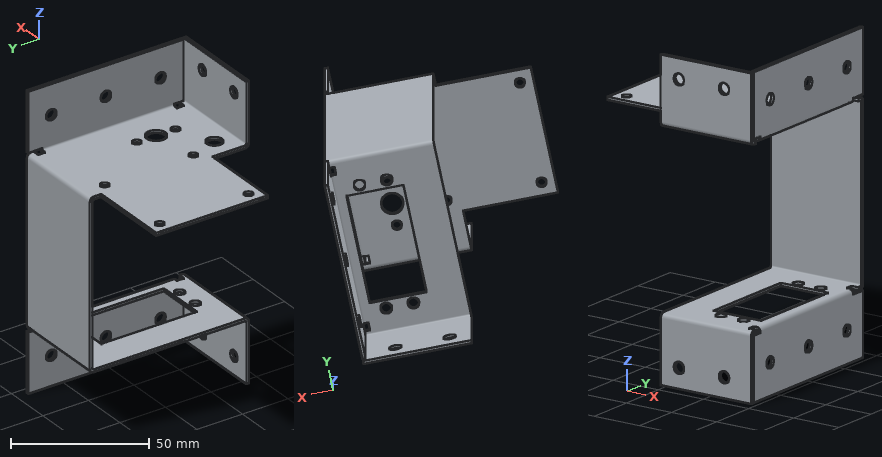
import cadquery as cq

width = 40.0
depth = 70.0
height = 125.0
thickness = 1.2
inner_radius = 0.8
outer_radius = inner_radius + thickness

y_front = -depth / 2
y_back = depth / 2
z_top = height / 2
shelf_inner_z = 35.1
shelf_outer_z = shelf_inner_z + thickness
bend_end_z = shelf_inner_z + outer_radius

side_flange_front_y = y_front + outer_radius
relief_width = 3.0
relief_inset = 3.0
relief_depth = 3.0
side_bend_half_length = depth / 2 - relief_inset - relief_width

flange_hole_diameter = 4.5
front_hole_xs = (8.0, 28.0)
front_hole_z = z_top - 8.0
side_hole_pitch = 24.0
side_hole_middle_y = 1.0
side_hole_z = z_top - 12.8

plate_length = 35.0
plate_width = 49.0
plate_back_y = 30.0
plate_hole_margin = 5.0
plate_hole_pitch_x = 35.0
small_hole_diameter = 3.5

pivot_x = 24.5
pivot_y = -11.1
pivot_diameter = 8.0
pivot_screw_offset = 8.5
cable_hole_x = 9.0
cable_hole_y = -26.0
cable_hole_diameter = 6.5

servo_x = pivot_x
servo_y = -0.8
servo_length = 42.0
servo_width = 21.0
servo_hole_pitch_x = 10.0
servo_hole_pitch_y = 48.2
servo_hole_diameter = 4.1


def box(x_range, y_range, z_range):
    """Box between the given limits on each axis."""
    lengths = [high - low for low, high in (x_range, y_range, z_range)]
    corner = (x_range[0], y_range[0], z_range[0])
    return cq.Workplane("XY").box(*lengths, centered=False).translate(corner)


def folded_strip():
    """Upper half of the web, the upper shelf and the front flange, with rounded bends."""
    front_bend_y = y_front + outer_radius
    back_bend_y = y_back - outer_radius
    web_bend_z = shelf_outer_z - outer_radius
    return (
        cq.Workplane("YZ")
        .moveTo(y_back, 0)
        .lineTo(y_back, web_bend_z)
        .tangentArcPoint((back_bend_y, shelf_outer_z), relative=False)
        .lineTo(front_bend_y, shelf_outer_z)
        .radiusArc((y_front + thickness, bend_end_z), inner_radius)
        .lineTo(y_front + thickness, z_top)
        .lineTo(y_front, z_top)
        .lineTo(y_front, bend_end_z)
        .tangentArcPoint((front_bend_y, shelf_inner_z), relative=False)
        .lineTo(back_bend_y, shelf_inner_z)
        .radiusArc((y_back - thickness, web_bend_z), inner_radius)
        .lineTo(y_back - thickness, 0)
        .close()
        .extrude(width)
    )


def side_flange():
    """Flange on the +X edge; its bend joins the shelf only between the relief notches."""
    wall = box((width - thickness, width), (side_flange_front_y, y_back), (bend_end_z, z_top))
    bend_x = width - outer_radius
    bend = (
        cq.Workplane("XZ", origin=(0, side_bend_half_length, 0))
        .moveTo(bend_x, shelf_inner_z)
        .radiusArc((width, bend_end_z), -outer_radius)
        .lineTo(width - thickness, bend_end_z)
        .radiusArc((bend_x, shelf_outer_z), inner_radius)
        .close()
        .extrude(2 * side_bend_half_length)
    )
    return wall.union(bend)


def side_edge_clearance():
    """Shelf material removed for the side bend and its two relief notches."""
    half_length = side_bend_half_length
    z_range = (shelf_inner_z, shelf_outer_z)
    clearance = box((width - outer_radius, width), (-half_length, half_length), z_range)
    relief_x_range = (width - relief_depth, width)
    for y_start in (-half_length - relief_width, half_length):
        clearance = clearance.union(box(relief_x_range, (y_start, y_start + relief_width), z_range))
    return clearance


def flange_holes():
    """Screw holes through the front flange and the side flange."""
    side_ys = [side_hole_middle_y + i * side_hole_pitch for i in (-1, 0, 1)]
    front = (
        cq.Workplane("XZ", origin=(0, y_front + thickness, 0))
        .pushPoints([(x, front_hole_z) for x in front_hole_xs])
        .circle(flange_hole_diameter / 2)
        .extrude(thickness)
    )
    side = (
        cq.Workplane("YZ", origin=(width - thickness, 0, 0))
        .pushPoints([(y, side_hole_z) for y in side_ys])
        .circle(flange_hole_diameter / 2)
        .extrude(thickness)
    )
    return front.union(side)


def shelf_holes(points, diameter, shelf_bottom_z):
    """Round cutters through the shelf whose underside lies at shelf_bottom_z."""
    return (
        cq.Workplane("XY", origin=(0, 0, shelf_bottom_z))
        .pushPoints(points)
        .circle(diameter / 2)
        .extrude(thickness)
    )


upper_half = folded_strip().cut(side_edge_clearance()).union(side_flange()).cut(flange_holes())
bracket = upper_half.union(upper_half.mirror("XY"))

plate_front_y = plate_back_y - plate_width
plate_overlap = outer_radius
bracket = bracket.union(
    box((-plate_length, plate_overlap), (plate_front_y, plate_back_y), (shelf_inner_z, shelf_outer_z))
)
first_plate_hole_x = -plate_length + plate_hole_margin
plate_holes = [
    (x, y)
    for x in (first_plate_hole_x, first_plate_hole_x + plate_hole_pitch_x)
    for y in (plate_front_y + plate_hole_margin, plate_back_y - plate_hole_margin)
]
pivot_screws = [(pivot_x, pivot_y + side * pivot_screw_offset) for side in (-1, 1)]
bracket = (
    bracket.cut(shelf_holes(plate_holes + pivot_screws, small_hole_diameter, shelf_inner_z))
    .cut(shelf_holes([(pivot_x, pivot_y)], pivot_diameter, shelf_inner_z))
    .cut(shelf_holes([(cable_hole_x, cable_hole_y)], cable_hole_diameter, shelf_inner_z))
)

servo_holes = [
    (servo_x + i * servo_hole_pitch_x / 2, servo_y + j * servo_hole_pitch_y / 2)
    for i in (-1, 1)
    for j in (-1, 1)
]
servo_window = box(
    (servo_x - servo_width / 2, servo_x + servo_width / 2),
    (servo_y - servo_length / 2, servo_y + servo_length / 2),
    (-shelf_outer_z, -shelf_inner_z),
)
result = bracket.cut(servo_window).cut(shelf_holes(servo_holes, servo_hole_diameter, -shelf_outer_z))